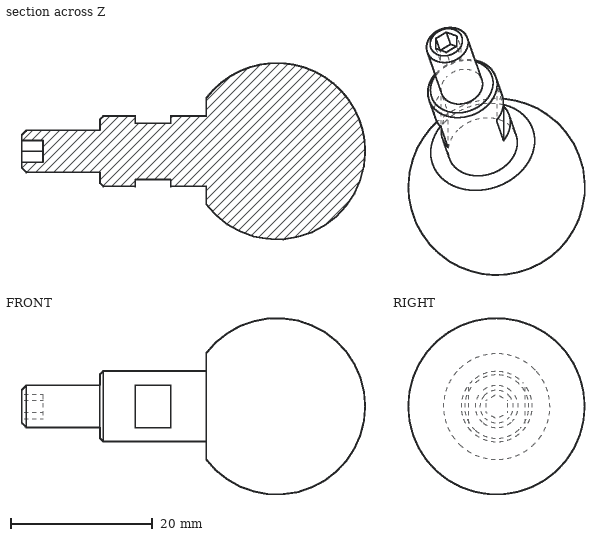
import cadquery as cq

total_length = 48.5
ball_diameter = 25.0
ball_face_diameter = 15.0
collar_diameter = 10.0
collar_length = 15.0
collar_chamfer = 0.5
pin_diameter = 6.0
pin_chamfer = 0.7
flat_length = 5.0
flat_offset = 5.0
across_flats = 8.0
socket_across_flats = 3.0
socket_depth = 3.0

ball_radius = ball_diameter / 2
ball_face_x = -(ball_radius**2 - (ball_face_diameter / 2) ** 2) ** 0.5
collar_end_x = ball_face_x - collar_length
pin_end_x = ball_radius - total_length


def shaft(start_x, end_x, diameter, chamfer):
    """Round shaft along X with its free (-X) end chamfered."""
    body = cq.Workplane("YZ", origin=(start_x, 0, 0)).circle(diameter / 2).extrude(end_x - start_x)
    return body.faces("<X").chamfer(chamfer)


def truncated_ball():
    """Ball cut off square on the side where the collar joins."""
    profile = (
        cq.Workplane("XY")
        .moveTo(ball_face_x, 0)
        .lineTo(ball_face_x, ball_face_diameter / 2)
        .threePointArc((0, ball_radius), (ball_radius, 0))
        .close()
    )
    return profile.revolve(360, (0, 0, 0), (1, 0, 0))


def flat_cutter(side):
    """Block that leaves a wrench flat on the +Y or -Y side of the collar."""
    depth = collar_diameter - across_flats
    center_x = collar_end_x + flat_offset + flat_length / 2
    center_y = side * (across_flats + depth) / 2
    return cq.Workplane("XY").box(flat_length, depth, collar_diameter).translate((center_x, center_y, 0))


def hex_socket():
    """Hexagonal key socket in the pin end, with corners at +Z and -Z."""
    corner_diameter = socket_across_flats / (3**0.5 / 2)
    plane = cq.Plane(origin=(pin_end_x, 0, 0), xDir=(0, 0, 1), normal=(1, 0, 0))
    return cq.Workplane(plane).polygon(6, corner_diameter).extrude(socket_depth)


result = truncated_ball()
result = result.union(shaft(collar_end_x, ball_face_x, collar_diameter, collar_chamfer))
result = result.union(shaft(pin_end_x, collar_end_x, pin_diameter, pin_chamfer))
for side in (-1, 1):
    result = result.cut(flat_cutter(side))
result = result.cut(hex_socket())